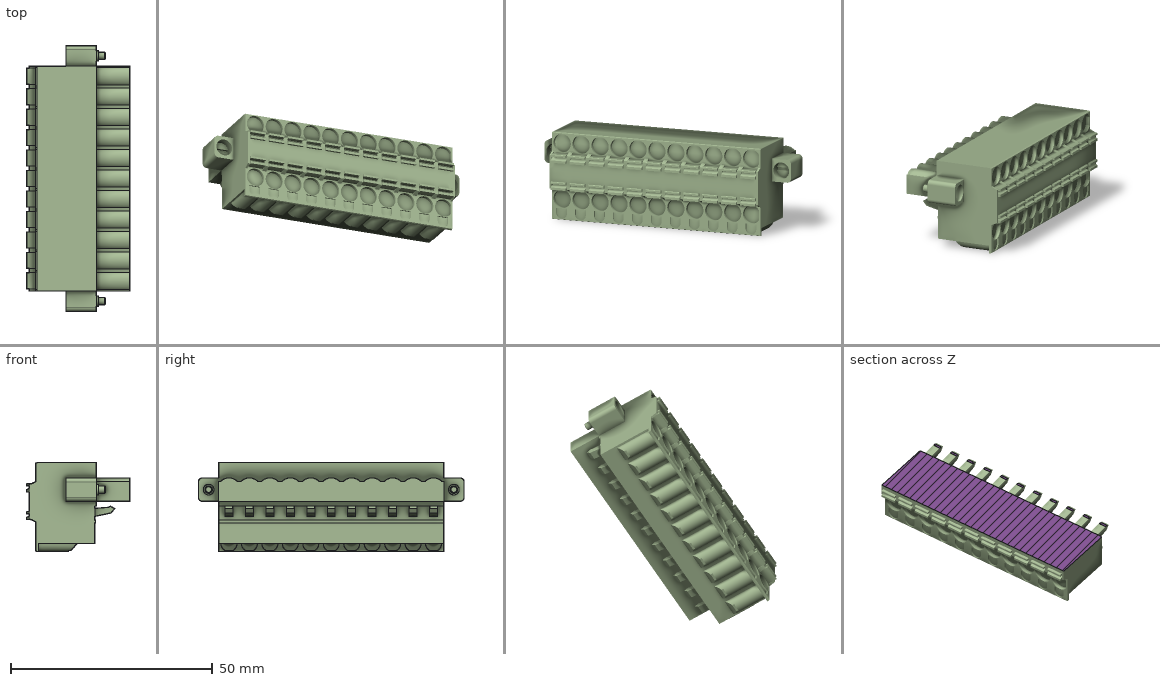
import cadquery as cq

pole_count = 11
total_length = 66.05
body_length = 55.9
body_height = 22.1
pole_pitch = body_length / pole_count
pole_places = [(i - (pole_count - 1) / 2) * pole_pitch for i in range(pole_count)]

upper_depth = 15.1
lower_depth = 14.7
rear_step_height = 11.3
underside_height = 2.0
lip_depth = 0.7
nose_reach = 1.6
nose_bottom = 8.1
nose_top = 16.65
shoulder_rise = 0.7
edge_bevel_depth = 0.4
edge_bevel_rise = 0.1

entry_radius = 2.3
entry_depth = 1.05
entry_offset = 0.165
end_wall = 0.3
entry_heights = (5.35, 19.5)

test_width = 2.85
test_top = 3.0
test_bottom = 0.25
test_depth = 0.4

button_width = 4.0
button_reach = 2.25
groove_floor = 0.9
groove_floor_height = 0.25
ridge_height = 0.6
ridge_bevel = 0.1
upper_button = (14.8, 16.9)
lower_button = (7.9, 10.0)

boss_radius = underside_height
boss_end = 8.2
boss_step = 0.25
bevel_start = 8.8
bevel_end = 10.3

flange_start = 7.5
flange_bottom = 12.5
flange_top = 18.3
flange_rounding = 1.0
flange_width = (total_length - body_length) / 2
screw_from_end = 2.6
screw_height = (flange_bottom + flange_top) / 2
screw_hole_diameter = 4.2
screw_hole_depth = 2.3
screw_slot_width = 0.8
screw_slot_depth = 0.65
collar_diameter = 2.65
collar_length = 0.5
tip_diameter = 1.85
tip_end = 17.4
tip_chamfer = 0.2

plug_end = 23.45
plug_flat_height = 17.4
lobe_width = 4.2

hook_width = 2.0
hook_root_bottom = 8.7
hook_root_top = 10.75
barb_start = 18.15
barb_start_height = 11.0
barb_peak = 18.55
barb_peak_height = 11.3
hook_tip = 19.7
hook_tip_height = 10.7
hook_heel = 18.75
hook_heel_height = 9.6
rib_bottom = 7.1
rib_height = 0.65
rib_reach = 0.2


def box(x_range, y_range, z_range):
    """Box given by its limits along the three axes."""
    size = [high - low for low, high in (x_range, y_range, z_range)]
    return cq.Workplane("XY").box(*size, centered=False).translate((x_range[0], y_range[0], z_range[0]))


def extrude_side_profile(points, width, y_center=0.0):
    """Extrude an X-Z outline symmetrically about y_center."""
    return cq.Workplane("XZ", origin=(0, y_center, 0)).polyline(points).close().extrude(width / 2, both=True)


def rod(x_start, x_end, y, z, radius):
    """Cylinder lying along X."""
    return cq.Workplane("YZ", origin=(x_start, y, z)).circle(radius).extrude(x_end - x_start)


def make_housing():
    return extrude_side_profile(
        [
            (0, edge_bevel_rise),
            (edge_bevel_depth, 0),
            (lip_depth, 0),
            (lip_depth, underside_height),
            (lower_depth, underside_height),
            (lower_depth, rear_step_height),
            (upper_depth, rear_step_height),
            (upper_depth, body_height),
            (edge_bevel_depth, body_height),
            (0, body_height - edge_bevel_rise),
            (0, nose_top + shoulder_rise),
            (-nose_reach, nose_top),
            (-nose_reach, nose_bottom),
            (0, nose_bottom - shoulder_rise),
        ],
        body_length,
    )


def make_wire_entries():
    entries = cq.Workplane("YZ")
    for height in entry_heights:
        for y in pole_places:
            entries = entries.add(rod(0, entry_depth, y - entry_offset, height, entry_radius))
    limit = body_length / 2 - end_wall
    return entries.combine().intersect(box((0, entry_depth), (-limit, limit), (0, body_height)))


def make_test_opening(y):
    half_width = test_width / 2
    return (
        cq.Workplane("YZ", origin=(0, y, 0))
        .moveTo(-half_width, test_top)
        .lineTo(-half_width, test_bottom + half_width)
        .threePointArc((0, test_bottom), (half_width, test_bottom + half_width))
        .lineTo(half_width, test_top)
        .close()
        .extrude(test_depth)
    )


def make_button_recess(y, z_range):
    """Opening in the nose for a button, cut through the sloping shoulder beside it."""
    half_width = button_width / 2
    return box((-button_reach, 0), (y - half_width, y + half_width), z_range)


def make_button(y, limits):
    """Button with a front groove whose floor slopes outward and down."""
    bottom, top = limits
    return extrude_side_profile(
        [
            (0, bottom),
            (-button_reach, bottom),
            (-button_reach, bottom + ridge_height),
            (-groove_floor, top - ridge_height - groove_floor_height),
            (-groove_floor, top - ridge_height),
            (-button_reach, top - ridge_height),
            (-button_reach, top - ridge_bevel),
            (-button_reach + ridge_bevel, top),
            (0, top),
        ],
        button_width,
        y,
    )


def make_boss(y):
    """Half-round boss hanging below the housing, stepped and bevelled at its rear end."""
    boss = rod(lip_depth, bevel_end, y, underside_height, boss_radius)
    rear_cut = extrude_side_profile(
        [
            (boss_end, 0),
            (boss_end, boss_step),
            (bevel_start, boss_step),
            (bevel_end, underside_height),
            (bevel_end, 0),
        ],
        2 * boss_radius,
        y,
    )
    lower_half = box(
        (lip_depth, bevel_end),
        (y - boss_radius, y + boss_radius),
        (0, underside_height),
    )
    return boss.intersect(lower_half).cut(rear_cut)


def make_flange():
    """Screw flange at the +Y end, with its captive screw."""
    outer_end = total_length / 2
    screw_y = outer_end - screw_from_end
    flange = box(
        (flange_start, upper_depth),
        (outer_end - flange_width, outer_end),
        (flange_bottom, flange_top),
    )
    flange = flange.faces(">Y").edges("|X").fillet(flange_rounding)
    head_face = flange_start + screw_hole_depth
    hole = rod(flange_start, head_face, screw_y, screw_height, screw_hole_diameter / 2)
    slot_end = head_face + screw_slot_depth
    slot = rod(head_face, slot_end, screw_y, screw_height, screw_hole_diameter / 2)
    slot = slot.intersect(
        box(
            (head_face, slot_end),
            (outer_end - flange_width, outer_end),
            (screw_height - screw_slot_width / 2, screw_height + screw_slot_width / 2),
        )
    )
    collar_end = upper_depth + collar_length
    collar = rod(upper_depth, collar_end, screw_y, screw_height, collar_diameter / 2)
    tip = rod(collar_end, tip_end, screw_y, screw_height, tip_diameter / 2)
    tip = tip.faces(">X").chamfer(tip_chamfer)
    return flange.cut(hole).cut(slot).union(collar).union(tip)


def make_plug():
    """Rear plug block with one shallow rounded lobe above each pole."""
    half_length = body_length / 2
    outline = cq.Workplane("YZ", origin=(upper_depth, 0, 0)).moveTo(-half_length, flange_bottom)
    outline = outline.lineTo(-half_length, plug_flat_height)
    for y in pole_places:
        outline = outline.lineTo(y - lobe_width / 2, plug_flat_height)
        outline = outline.threePointArc((y, flange_top), (y + lobe_width / 2, plug_flat_height))
    outline = outline.lineTo(half_length, plug_flat_height).lineTo(half_length, flange_bottom)
    return outline.close().extrude(plug_end - upper_depth)


def make_hook(y):
    return extrude_side_profile(
        [
            (lower_depth, hook_root_bottom),
            (lower_depth, hook_root_top),
            (barb_start, barb_start_height),
            (barb_peak, barb_peak_height),
            (hook_tip, hook_tip_height),
            (hook_heel, hook_heel_height),
        ],
        hook_width,
        y,
    )


upper_recess = (upper_button[0], nose_top + shoulder_rise)
lower_recess = (nose_bottom - shoulder_rise, lower_button[1])

result = make_housing().cut(make_wire_entries())
for y in pole_places:
    result = result.cut(make_test_opening(y))
    result = result.cut(make_button_recess(y, upper_recess)).cut(make_button_recess(y, lower_recess))
for y in pole_places:
    result = result.union(make_button(y, upper_button)).union(make_button(y, lower_button))
    result = result.union(make_boss(y)).union(make_hook(y))
result = result.union(make_plug())
flange = make_flange()
result = result.union(flange).union(flange.mirror("XZ"))
rib = box(
    (lower_depth, lower_depth + rib_reach),
    (-body_length / 2, body_length / 2),
    (rib_bottom, rib_bottom + rib_height),
)
result = result.union(rib).solids()